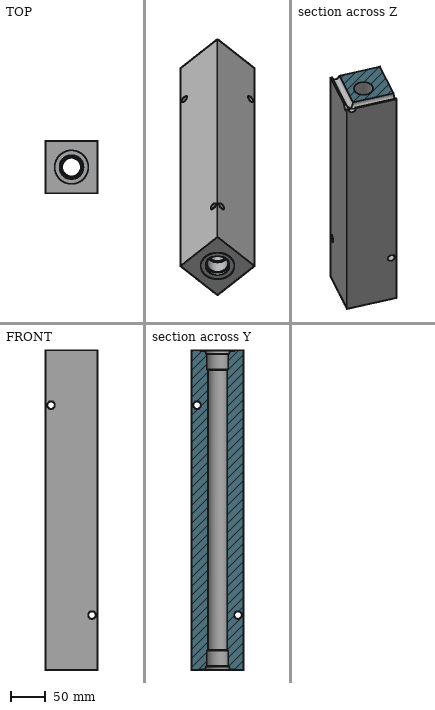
import cadquery as cq

side = 76.0
length = 463.5

bore_diameter = 27.0
recess_diameter = 48.5
recess_depth = 1.0
mouth_diameter = 34.8
mouth_floor_diameter = 33.5
mouth_depth = 4.0
port_diameter = 30.5
mouth_chamfer_height = 1.0
port_depth = 28.0
port_taper_height = 1.5

cross_hole_diameter = 10.5
cross_hole_edge_distance = 8.5
cross_hole_end_distance = 79.5


def end_port():
    """Shallow recess, tapered mouth and port hole to remove from the upper end."""
    top = length / 2
    recess_floor = top - recess_depth
    mouth_floor = recess_floor - mouth_depth
    port_start = mouth_floor - mouth_chamfer_height
    port_end = top - port_depth
    bore_start = port_end - port_taper_height
    profile = [
        (0, top),
        (recess_diameter / 2, top),
        (recess_diameter / 2, recess_floor),
        (mouth_diameter / 2, recess_floor),
        (mouth_floor_diameter / 2, mouth_floor),
        (port_diameter / 2, port_start),
        (port_diameter / 2, port_end),
        (bore_diameter / 2, bore_start),
        (0, bore_start),
    ]
    return cq.Workplane("XZ").polyline(profile).close().revolve(360, (0, 0), (0, 1))


def cross_holes(plane, upper_side):
    """Two through holes along the plane normal, in diagonally opposite corners of the bar."""
    across = upper_side * (side / 2 - cross_hole_edge_distance)
    up = length / 2 - cross_hole_end_distance
    return (
        cq.Workplane(plane)
        .pushPoints([(across, up), (-across, -up)])
        .circle(cross_hole_diameter / 2)
        .extrude(side, both=True)
    )


bar = cq.Workplane("XY").box(side, side, length)
bore = cq.Workplane("XY").circle(bore_diameter / 2).extrude(length, both=True)
upper_port = end_port()
lower_port = upper_port.mirror("XY")

result = bar.cut(bore).cut(upper_port).cut(lower_port)

result = result.cut(cross_holes("XZ", -1))
result = result.cut(cross_holes("YZ", 1))